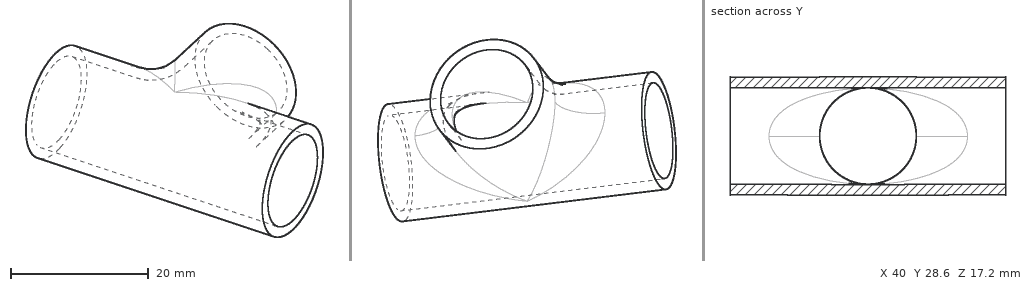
import cadquery as cq

run_length = 40.0
branch_length = 20.0
outer_diameter = 17.2
bore_diameter = 14.0
outer_blend_radius = 5.8

wall_thickness = (outer_diameter - bore_diameter) / 2
inner_blend_radius = outer_blend_radius + wall_thickness


def blended_tee(diameter, blend_radius):
    """Solid tee of one diameter with both crotches between run and branch rounded."""
    radius = diameter / 2
    run = cq.Workplane("YZ").circle(radius).extrude(run_length / 2, both=True)
    branch = cq.Workplane("XZ").circle(radius).extrude(-branch_length)
    return run.union(branch).edges("%ELLIPSE").fillet(blend_radius)


outside = blended_tee(outer_diameter, outer_blend_radius)
passage = blended_tee(bore_diameter, inner_blend_radius)
result = outside.cut(passage)